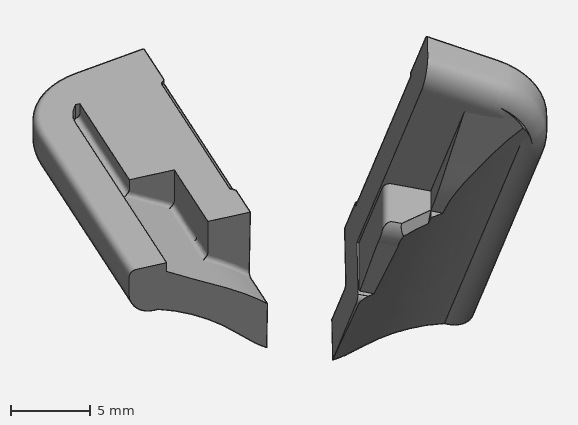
import cadquery as cq
import math

length = 22.65
width = 9.45
height = 8.32

plate_thickness = 3.5
corner_radius = 5.6
end_slant = math.radians(11.3)
top_round = 0.5
bottom_round = 1.68
back_draft = 0.14

rim_width = 2.54
rim_depth = 0.68
inner_step_x = 13.37
outer_step_x = 19.37
inner_wall_y = 3.53
outer_wall_y = 6.57
pocket_tip_x = 4.5
floor_round = 0.3

wall = 2.7
belly_start_y = 0.9
belly_start_z = -3.25
first_step = inner_step_x - wall
second_step = outer_step_x - wall
belly_left_x = pocket_tip_x - wall
belly_back_y = inner_wall_y + wall
block_back_y = outer_wall_y + wall
step_round = 0.5
step_bevel = 0.68
bevel_overlap = 0.11
step_edge_start_z = -5.78
step_edge_end_z = -8.3

bevel_start_x = 3.97
bevel_end_x = 16.81
bevel_size = 0.32

arc_x = (width - corner_radius) * math.tan(end_slant) + corner_radius / math.cos(end_slant)


def arc_point(radius, angle):
    """Point around the corner centre, angle measured from -X toward -Y."""
    return (arc_x - radius * math.cos(angle), corner_radius - radius * math.sin(angle))


def make_outline():
    middle_angle = (end_slant + math.pi / 2) / 2
    return (
        cq.Workplane("XY")
        .moveTo(0, width)
        .lineTo(*arc_point(corner_radius, end_slant))
        .threePointArc(arc_point(corner_radius, middle_angle), (arc_x, 0))
        .lineTo(length, 0)
        .lineTo(length, width)
        .close()
    )


def make_plate():
    """Plate with its front and left edges rounded."""
    plate = make_outline().extrude(-plate_thickness)
    inside = cq.selectors.BoxSelector((-0.23, -0.23, -height), (length - 0.23, width - 0.23, 0.23))
    plate = plate.newObject(plate.faces(">Z").edges(inside).vals()).fillet(top_round)
    return plate.newObject(plate.faces("<Z").edges(inside).vals()).fillet(bottom_round)


def make_belly():
    """Stepped mass below the plate that encloses the pocket."""
    section = (
        cq.Workplane("YZ")
        .moveTo(belly_start_y, belly_start_z)
        .spline(
            [(4.1, -4.37), (6.57, -6.03), (8.81, -7.98), (width - back_draft, -height)],
            includeCurrent=True,
        )
        .lineTo(width, -height)
        .lineTo(width, -top_round)
        .lineTo(belly_start_y, -top_round)
        .close()
        .extrude(length)
    )
    footprint = (
        cq.Workplane("XY")
        .moveTo(belly_left_x, 0)
        .lineTo(length, 0)
        .lineTo(length, width)
        .lineTo(second_step, width)
        .lineTo(second_step, block_back_y)
        .lineTo(first_step, block_back_y)
        .lineTo(first_step, belly_back_y)
        .lineTo(belly_left_x, belly_back_y)
        .close()
        .extrude(-height)
    )
    side = (
        cq.Workplane("XZ")
        .moveTo(belly_left_x, -top_round)
        .lineTo(belly_left_x, belly_start_z)
        .spline([(3.85, -3.75), (6.8, -4.46), (9.3, -5.05), (first_step, -5.17)], includeCurrent=True)
        .lineTo(first_step, -height)
        .lineTo(length, -height)
        .lineTo(length, -top_round)
        .close()
        .extrude(-width)
    )
    inset_outline = make_outline().offset2D(-belly_start_y).extrude(-height)
    front_part = cq.Workplane("XY").box(arc_x, belly_back_y, height, centered=False)
    front_part = front_part.translate((0, 0, -height)).cut(inset_outline)
    belly = section.intersect(footprint).intersect(side).cut(front_part)
    block_edges = cq.selectors.BoxSelector(
        (first_step - 0.02, block_back_y - 0.02, -height - 0.23),
        (second_step - 0.02, width, -plate_thickness),
    )
    belly = belly.edges(block_edges).fillet(step_round)
    return belly.cut(make_step_bevel()).cut(make_block_relief())


def make_block_relief():
    """Space under the two blocks, with their rounded, gently falling bottoms."""
    return (
        cq.Workplane("XZ")
        .moveTo(first_step, -height - 0.23)
        .lineTo(first_step, -6.68)
        .threePointArc((first_step + 0.4, -7.05), (first_step + 1.59, -7.25))
        .lineTo(second_step, -7.55)
        .lineTo(second_step, -7.85)
        .threePointArc((second_step + 0.18, -8.11), (second_step + 0.57, -8.2))
        .lineTo(length, -height)
        .lineTo(length, -height - 0.23)
        .close()
        .extrude(-width)
    )


def make_step_bevel():
    """Wedge along the sloping lower edge of the first step face."""
    run = outer_wall_y - inner_wall_y
    return (
        cq.Workplane("XZ", origin=(first_step, belly_back_y, step_edge_start_z))
        .polyline([(0, step_bevel), (step_bevel, -bevel_overlap), (0, -bevel_overlap)])
        .close()
        .workplane(offset=-run)
        .center(0, step_edge_end_z - step_edge_start_z)
        .polyline([(0, step_bevel), (step_bevel, -bevel_overlap), (0, -bevel_overlap)])
        .close()
        .loft(ruled=True)
    )


def make_pocket():
    """Stepped pocket with a curved floor falling toward the back."""
    rim_radius = corner_radius - rim_width
    tip_angle = math.acos((arc_x - pocket_tip_x) / rim_radius)
    tip = arc_point(rim_radius, tip_angle)
    footprint = (
        cq.Workplane("XY")
        .moveTo(arc_x, rim_width)
        .lineTo(length, rim_width)
        .lineTo(length, width)
        .lineTo(outer_step_x, width)
        .lineTo(outer_step_x, outer_wall_y)
        .lineTo(inner_step_x, outer_wall_y)
        .lineTo(inner_step_x, inner_wall_y)
        .lineTo(pocket_tip_x, inner_wall_y)
        .lineTo(*tip)
        .threePointArc(arc_point(rim_radius, (tip_angle + math.pi / 2) / 2), (arc_x, rim_width))
        .close()
        .extrude(-height)
    )
    above_floor = (
        cq.Workplane("YZ")
        .moveTo(rim_width, 0)
        .lineTo(rim_width, -rim_depth)
        .spline([(4.3, -1.7), (6.5, -2.92), (width, -4.99)], includeCurrent=True)
        .lineTo(width, 0)
        .close()
        .extrude(length)
    )
    pocket = footprint.intersect(above_floor)
    wall_feet = cq.selectors.BoxSelector(
        (pocket_tip_x + 0.23, inner_wall_y - 0.23, -height), (outer_step_x + 0.23, width - 0.23, -rim_depth)
    )
    feet = [edge for edge in pocket.edges(wall_feet).vals() if edge.BoundingBox().zmax < -rim_depth]
    return pocket.newObject(feet).fillet(floor_round)


def make_back_bevel():
    cut = (
        cq.Workplane("YZ", origin=(bevel_start_x, 0, 0))
        .polyline([(width, 0), (width - bevel_size, 0), (width, -bevel_size)])
        .close()
        .extrude(bevel_end_x - bevel_start_x)
    )
    ends = (
        cq.Workplane("XY")
        .moveTo(bevel_start_x, width)
        .lineTo(bevel_end_x, width)
        .lineTo(bevel_end_x - bevel_size, width - bevel_size)
        .lineTo(bevel_start_x + bevel_size, width - bevel_size)
        .close()
        .extrude(-bevel_size)
    )
    return cut.intersect(ends)


def make_back_draft():
    """Sliver that slopes the back face inward below the top round."""
    return (
        cq.Workplane("YZ")
        .polyline([(width, -top_round), (width, -height), (width - back_draft, -height)])
        .close()
        .extrude(length)
    )


result = (
    make_plate()
    .union(make_belly())
    .cut(make_pocket())
    .cut(make_back_bevel())
    .cut(make_back_draft())
)